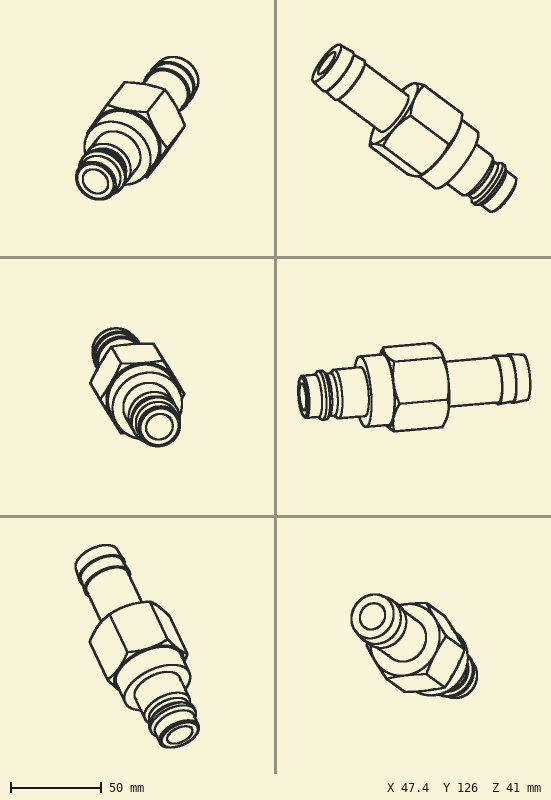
import cadquery as cq
import math

TOTAL_LENGTH = 126.0
COLLAR_START = 34.0
HEX_START = 47.0
HEX_END = 78.0
RIB_START = 8.0
RIB_CREST_START = 10.0
RIB_CREST_END = 12.0
GROOVE_START = 13.7
GROOVE_END = 16.9
SHANK_START = 19.0

BORE_DIAMETER = 15.0
NECK_DIAMETER = 23.4
SHANK_DIAMETER = 27.1
COLLAR_DIAMETER = 39.0
HOSE_DIAMETER = 25.0
BARB_TIP_DIAMETER = 25.2
BARB_CREST_DIAMETER = 27.1

NOSE_CHAMFER_LENGTH = 0.8
NOSE_CHAMFER_DEPTH = 1.0
BARB_LENGTH = 8.1
BARB_COUNT = 2

HEX_ACROSS_CORNERS = 47.4
HEX_CHAMFER_ANGLE = 30.0

hex_across_flats = HEX_ACROSS_CORNERS * math.cos(math.radians(30))
barbs_start = TOTAL_LENGTH - BARB_COUNT * BARB_LENGTH


def revolve_profile(points):
    """Revolve a closed (radius, y) outline about the Y axis."""
    return cq.Workplane("XY").polyline(points).close().revolve(360, (0, 0, 0), (0, 1, 0))


def make_stem():
    """Plug, collar and barbed hose tail as one turned body."""
    neck = NECK_DIAMETER / 2
    shank = SHANK_DIAMETER / 2
    collar = COLLAR_DIAMETER / 2
    hose = HOSE_DIAMETER / 2
    outline = [
        (0, 0),
        (neck - NOSE_CHAMFER_DEPTH, 0),
        (neck, NOSE_CHAMFER_LENGTH),
        (neck, RIB_START),
        (shank, RIB_CREST_START),
        (shank, RIB_CREST_END),
        (neck, GROOVE_START),
        (neck, GROOVE_END),
        (shank, SHANK_START),
        (shank, COLLAR_START),
        (collar, COLLAR_START),
        (collar, HEX_START),
        (hose, HEX_START),
        (hose, barbs_start),
    ]
    for index in range(BARB_COUNT):
        crest_y = barbs_start + index * BARB_LENGTH
        outline.append((BARB_CREST_DIAMETER / 2, crest_y))
        outline.append((BARB_TIP_DIAMETER / 2, crest_y + BARB_LENGTH))
    outline.append((0, TOTAL_LENGTH))
    return revolve_profile(outline)


def make_hex():
    """Hexagon with corners on X and both ends chamfered conically."""
    prism = (
        cq.Workplane("XZ", origin=(0, HEX_START, 0))
        .polygon(6, HEX_ACROSS_CORNERS)
        .extrude(HEX_START - HEX_END)
    )
    inner = hex_across_flats / 2
    outer = HEX_ACROSS_CORNERS / 2
    drop = (outer - inner) * math.tan(math.radians(HEX_CHAMFER_ANGLE))
    envelope = revolve_profile([
        (0, HEX_START),
        (inner, HEX_START),
        (outer, HEX_START + drop),
        (outer, HEX_END - drop),
        (inner, HEX_END),
        (0, HEX_END),
    ])
    return prism.intersect(envelope)


def make_bore():
    """Straight passage through the whole length."""
    return cq.Workplane("XZ").circle(BORE_DIAMETER / 2).extrude(-TOTAL_LENGTH)


result = make_stem().union(make_hex()).cut(make_bore())